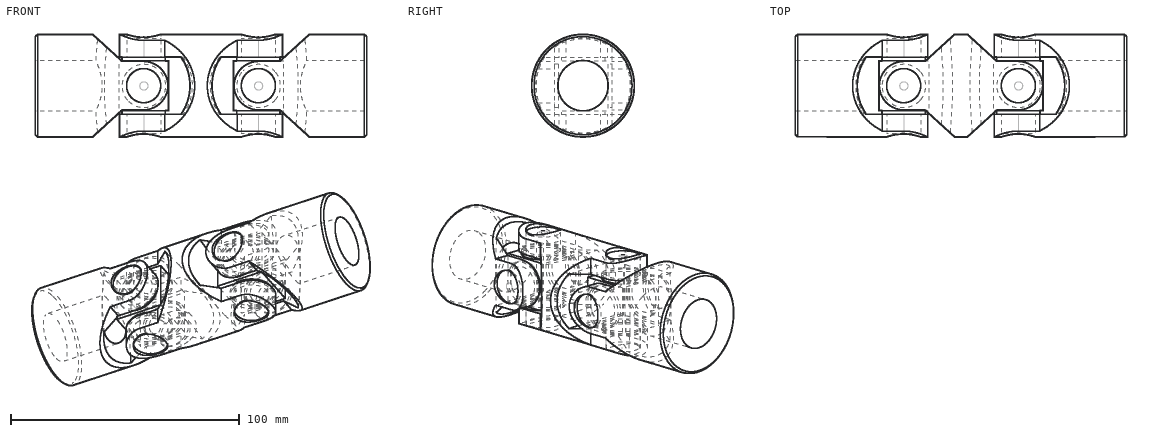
import cadquery as cq

length = 145.0
body_radius = 45.0 / 2
end_chamfer = 1.0
bore_diameter = 22.0
joint_x = 25.1

arm_half_width = 10.6
arm_inner_face = 12.5
arm_straight = 9.3
taper_end = 22.3
slot_mid_radius = 21.3
slot_edge_radius = 20.0

block_size = 21.8
boss_diameter = 19.0
pin_diameter = 15.0
pin_half_length = 20.7
point_diameter = 3.6
point_height = 0.6

reach = 2 * body_radius



def arm_flank_cutter():
    """Space beside and beyond the arms, out to the end of the taper."""
    surround = cq.Workplane("XY").box(
        reach + taper_end, 2 * reach, 2 * reach
    ).translate(((taper_end - reach) / 2, 0, 0))
    arms = (
        cq.Workplane("XY")
        .moveTo(0, arm_half_width)
        .threePointArc((-arm_half_width, 0), (0, -arm_half_width))
        .lineTo(arm_straight, -arm_half_width)
        .lineTo(taper_end, -body_radius)
        .lineTo(taper_end, body_radius)
        .lineTo(arm_straight, arm_half_width)
        .close()
        .extrude(reach, both=True)
    )
    return surround.cut(arms)


def slot_cutter():
    """Slot between the arms, ending in a barrel-shaped floor around the Y axis."""
    barrel = (
        cq.Workplane("XY")
        .moveTo(0, -body_radius)
        .lineTo(slot_edge_radius, -body_radius)
        .threePointArc((slot_mid_radius, 0), (slot_edge_radius, body_radius))
        .lineTo(0, body_radius)
        .close()
        .revolve(360, (0, 0, 0), (0, 1, 0))
    )
    gap = cq.Workplane("XY").box(2 * reach, 2 * reach, 2 * arm_inner_face)
    return gap.intersect(barrel)


def fork_cutter():
    """Everything removed to form one fork, including its pin hole."""
    pin_hole = cq.Workplane("XY").circle(pin_diameter / 2).extrude(reach, both=True)
    return arm_flank_cutter().union(slot_cutter()).union(pin_hole)


def make_center_yoke():
    """Middle body with a fork at each end, all four arms at +Z and -Z."""
    body = cq.Workplane("YZ").circle(body_radius).extrude(joint_x + arm_half_width, both=True)
    left_cutter = fork_cutter().translate((-joint_x, 0, 0))
    return body.cut(left_cutter).cut(left_cutter.mirror("YZ"))


def make_end_yoke(end_face_x):
    """End hub with a chamfered rim, a bore into the slot and a fork with arms at +Y and -Y."""
    hub_length = length / 2 - joint_x + arm_half_width
    bore_length = length / 2 - joint_x
    hub = (
        cq.Workplane("YZ")
        .circle(body_radius)
        .extrude(hub_length)
        .faces("<X")
        .chamfer(end_chamfer)
    )
    bore = cq.Workplane("YZ").circle(bore_diameter / 2).extrude(bore_length)
    fork = (
        fork_cutter()
        .rotate((0, 0, 0), (1, 0, 0), 90)
        .mirror("YZ")
        .translate((bore_length, 0, 0))
    )
    yoke = hub.cut(bore).cut(fork)
    if end_face_x > 0:
        yoke = yoke.mirror("YZ")
    return yoke.translate((end_face_x, 0, 0))


def make_cross(x):
    """Cube with a boss, a pin and a raised conical point on each of its Y and Z sides."""
    cross = cq.Workplane("XY").box(block_size, block_size, block_size)
    for plane in ("XY", "XZ"):
        bosses = cq.Workplane(plane).circle(boss_diameter / 2).extrude(arm_inner_face, both=True)
        pins = cq.Workplane(plane).circle(pin_diameter / 2).extrude(pin_half_length, both=True)
        cross = cross.union(bosses).union(pins)
    for axis in (cq.Vector(0, 0, 1), cq.Vector(0, 1, 0)):
        for outward in (axis, -axis):
            point = cq.Solid.makeCone(
                point_diameter / 2, 0, point_height, outward * pin_half_length, outward
            )
            cross = cross.union(cq.Workplane(point))
    return cross.translate((x, 0, 0))


center_yoke = make_center_yoke()
end_yokes = [make_end_yoke(x) for x in (-length / 2, length / 2)]
crosses = [make_cross(x) for x in (-joint_x, joint_x)]

result = cq.Compound.makeCompound([
    center_yoke.solids().val(),
    *[yoke.solids().val() for yoke in end_yokes],
    *[cross.solids().val() for cross in crosses],
])